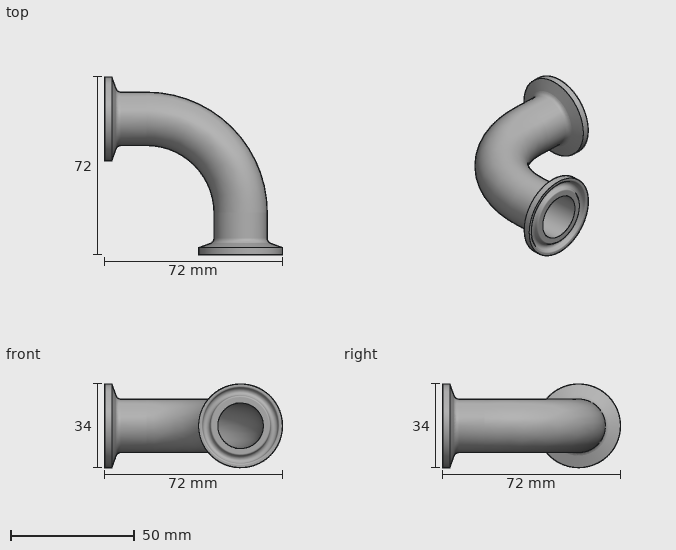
import cadquery as cq
import math

overall_length = 72.0
tube_radius = 21.7 / 2
bore_radius = 18.4 / 2
flange_radius = 34.0 / 2
bend_radius = 38.1
rim_thickness = 2.9
back_angle = math.radians(20)
neck_fillet = 2.0
selection_margin = 0.1

groove_center_radius = 13.75
groove_half_width = 1.45
lip_width = 0.65
wall_width = 0.18
groove_wall_angle = math.radians(70)

axis_offset = overall_length - flange_radius
leg_length = axis_offset - bend_radius
cone_end = rim_thickness + (flange_radius - tube_radius) * math.tan(back_angle)


def solid_ferrule():
    """Flange and straight leg along +Z, with the flange face at Z = 0."""
    body = (
        cq.Workplane("XZ")
        .moveTo(0, 0)
        .lineTo(flange_radius, 0)
        .lineTo(flange_radius, rim_thickness)
        .lineTo(tube_radius, cone_end)
        .lineTo(tube_radius, leg_length)
        .lineTo(0, leg_length)
        .close()
        .revolve(360, (0, 0, 0), (0, 1, 0))
    )
    reach = flange_radius
    neck = cq.selectors.BoxSelector(
        (-reach, -reach, cone_end - selection_margin),
        (reach, reach, cone_end + selection_margin),
    )
    return body.edges(neck).fillet(neck_fillet)


def gasket_groove():
    """Ring with an arc bottom, sloped walls and tangent rounded lips, cut into the face at Z = 0."""
    lip_arc = lip_width / math.sin(groove_wall_angle)
    bottom_arc = groove_half_width / math.sin(groove_wall_angle)
    lip_depth = lip_arc * (1 - math.cos(groove_wall_angle))
    wall_depth = lip_depth + wall_width * math.tan(groove_wall_angle)
    depth = wall_depth + bottom_arc * (1 - math.cos(groove_wall_angle))
    mid_lip_in = lip_arc * math.sin(groove_wall_angle / 2)
    mid_lip_depth = lip_arc * (1 - math.cos(groove_wall_angle / 2))
    half_opening = groove_half_width + wall_width + lip_width
    inner = groove_center_radius - half_opening
    outer = groove_center_radius + half_opening
    bottom_inner = groove_center_radius - groove_half_width
    bottom_outer = groove_center_radius + groove_half_width
    return (
        cq.Workplane("XZ")
        .moveTo(inner, 0)
        .threePointArc((inner + mid_lip_in, mid_lip_depth), (inner + lip_width, lip_depth))
        .lineTo(bottom_inner, wall_depth)
        .threePointArc((groove_center_radius, depth), (bottom_outer, wall_depth))
        .lineTo(outer - lip_width, lip_depth)
        .threePointArc((outer - mid_lip_in, mid_lip_depth), (outer, 0))
        .close()
        .revolve(360, (0, 0, 0), (0, 1, 0))
    )


def bend(radius):
    """Solid quarter bend from the -Y leg round to the -X leg."""
    return (
        cq.Workplane("XZ", origin=(axis_offset, leg_length, 0))
        .circle(radius)
        .revolve(90, (-bend_radius, 0, 0), (-bend_radius, 1, 0))
    )


ferrule = solid_ferrule().cut(gasket_groove())
leg_bore = cq.Workplane("XY").circle(bore_radius).extrude(leg_length)


def at_y_port(shape):
    """Turn a shape from +Z to +Y and move it to the port that faces -Y."""
    return shape.rotate((0, 0, 0), (1, 0, 0), -90).translate((axis_offset, 0, 0))


def at_x_port(shape):
    """Turn a shape from +Z to +X and move it to the port that faces -X."""
    return shape.rotate((0, 0, 0), (0, 1, 0), 90).translate((0, axis_offset, 0))


elbow = bend(tube_radius).cut(bend(bore_radius))
hollow_ferrule = ferrule.cut(leg_bore)
result = elbow.union(at_y_port(hollow_ferrule)).union(at_x_port(hollow_ferrule))